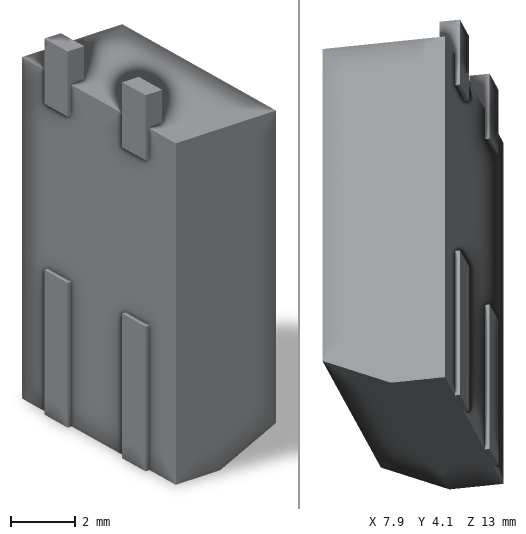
import cadquery as cq

total_height = 13.0
total_depth = 4.1
body_width = 7.9

contact_width = 1.2
contact_pitch = 4.0
contact_projection = 0.15
lower_contact_height = 5.0
upper_contact_height = 2.25
upper_contact_thickness = 0.65

body_height = 11.8
body_depth = total_depth - contact_projection
slope_depth = 2.2
slope_height = 1.0


def make_body():
    """Body with its front face at Y = 0 and its base at Z = 0."""
    return (
        cq.Workplane("YZ")
        .moveTo(0, 0)
        .lineTo(body_depth - slope_depth, 0)
        .lineTo(body_depth, slope_height)
        .lineTo(body_depth, body_height)
        .lineTo(0, body_height)
        .close()
        .extrude(body_width / 2, both=True)
    )


def make_contact(center_x, bottom_z, height, thickness):
    """Rectangular contact standing proud of the front face."""
    return (
        cq.Workplane("XY")
        .box(contact_width, thickness, height, centered=(True, False, False))
        .translate((center_x, -contact_projection, bottom_z))
    )


result = make_body()
for center_x in (-contact_pitch / 2, contact_pitch / 2):
    result = result.union(make_contact(center_x, 0, lower_contact_height, contact_projection))
    upper_contact_bottom = total_height - upper_contact_height
    result = result.union(
        make_contact(center_x, upper_contact_bottom, upper_contact_height, upper_contact_thickness)
    )